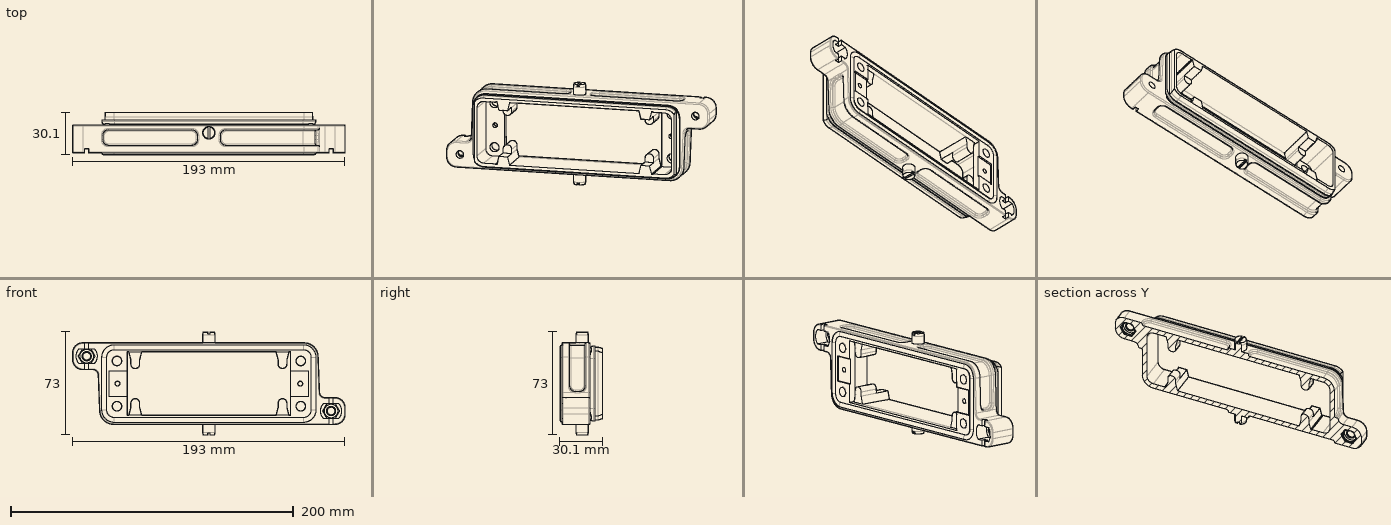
import cadquery as cq


lug_reach = 96.5
half_height = 29.0
body_depth = 19.9
side_x_at_lug = 78.4
side_x_at_corner = 77.4
corner_radius = 10.0
front_edge_fillet = 0.5
rear_edge_fillet = 1.0

lug_height = 19.1
lug_radius = 7.3
lug_root_radius = 3.7
lug_x = 86.5
lug_z = half_height - lug_height / 2
lug_hole_diameter = 5.5
nut_slot_length = 15.0
nut_slot_width = 10.5
nut_slot_depth = 9.6
nut_across_corners = 12.0
nut_depth = 11.5
lug_bore_diameter = 9.6
lug_bore_depth = 13.5
lug_countersink = 0.5
notch_width = 2.9
notch_depth = 2.9

rail_half_length = 75.8
rail_half_height = 27.5
rail_width = 3.5
rail_height = 1.4
rail_radius = 8.9

lip_half_length = 75.7
lip_half_height = 26.6
lip_rear = 23.4
lip_radius = 8.9
lip_front_fillet = 2.3
total_depth = 30.1
spigot_half_length = 75.7
spigot_end_flat_x = 73.5
spigot_half_height = 25.9
spigot_rear = total_depth - rail_height
spigot_taper_start = 25.5
spigot_taper = 1.0
spigot_end_taper = 0.2
spigot_radius = 8.5

opening_half_length = 57.7
opening_half_height = 22.4
opening_land = 3.5
plate_thickness = 5.5
opening_draft = 0.4
cavity_half_length = 71.5
cavity_radius = 5.0
fixing_hole_diameter = 6.5
fixing_hole_x = 65.0
fixing_hole_z = 16.0
centre_hole_diameter = 3.3
centre_hole_x = 64.7
plate_pocket_outer_x = 70.6
plate_pocket_height = 18.1
plate_pocket_depth = 1.2

post_x = 52.1
post_width = 6.4
post_tip_z = 10.6
post_rear = 17.8
foot_width = 9.3
foot_top_z = 16.8

panel_y_range = (5.5, 16.5)
panel_depth = 2.1
panel_inner_x = 8.1
panel_outer_x = 75.0
panel_end_z = 5.6
panel_radius = 4.0
panel_edge_fillet = 1.0
panel_wrap_half_length = 75.3
panel_wrap_radius = 8.7

screw_diameter = 8.9
screw_y = 14.3
screw_end_z = 36.5
screw_head_bevel = 0.4
screw_head_bevel_length = 2.0
screw_slot_width = 1.5
screw_slot_depth = 1.4


def plane_at(y):
    """Workplane facing the front, placed at depth y; it extrudes toward -Y."""
    return cq.Workplane("XZ", origin=(0, y, 0))


def block(x_range, y_range, z_range):
    """Box given by its limits along each axis."""
    limits = (x_range, y_range, z_range)
    sizes = [high - low for low, high in limits]
    corner = tuple(low for low, high in limits)
    return cq.Workplane("XY").box(*sizes, centered=False).translate(corner)


def rounded_slab(half_length, half_height_z, radius, y_front, y_rear):
    """Rounded rectangle in XZ, filling y_front to y_rear."""
    slab = plane_at(y_rear).rect(2 * half_length, 2 * half_height_z).extrude(y_rear - y_front)
    return slab.edges("|Y").fillet(radius)


def half_turn(shape):
    """Copy of a shape turned half a revolution about the Y axis."""
    return shape.rotate((0, 0, 0), (0, 1, 0), 180)


def with_half_turn(shape):
    return shape.union(half_turn(shape))


def make_body():
    lug_bottom = half_height - lug_height
    outline = plane_at(body_depth).moveTo(side_x_at_corner - corner_radius, half_height)
    for side in (1, -1):
        def at(x, z):
            return (side * x, side * z)

        outline = (
            outline.lineTo(*at(lug_radius - lug_reach, half_height))
            .radiusArc(at(-lug_reach, half_height - lug_radius), -lug_radius)
            .lineTo(*at(-lug_reach, lug_bottom + lug_radius))
            .radiusArc(at(lug_radius - lug_reach, lug_bottom), -lug_radius)
            .lineTo(*at(-side_x_at_lug - lug_root_radius, lug_bottom))
            .radiusArc(at(-side_x_at_lug, lug_bottom - lug_root_radius), lug_root_radius)
            .lineTo(*at(-side_x_at_corner, corner_radius - half_height))
            .radiusArc(at(corner_radius - side_x_at_corner, -half_height), -corner_radius)
        )
    body = outline.close().extrude(body_depth)
    body = body.faces("<Y").edges().fillet(front_edge_fillet)
    return body.faces(">Y").edges().fillet(rear_edge_fillet)


def make_rail():
    """Ridge with an arched section that follows a rounded rectangle."""
    centre_z = rail_half_height - rail_width / 2
    centre_half_length = rail_half_length - rail_width / 2
    bend = rail_radius - rail_width / 2
    path = rounded_slab(centre_half_length, centre_z, bend, 0, body_depth).faces("<Y").wires()
    section = (
        cq.Workplane("YZ")
        .moveTo(0, centre_z - rail_width / 2)
        .threePointArc((-rail_height, centre_z), (0, centre_z + rail_width / 2))
        .close()
    )
    return section.sweep(path)


def make_lip():
    lip = rounded_slab(lip_half_length, lip_half_height, lip_radius, body_depth, lip_rear)
    return lip.faces("<Y").edges().fillet(lip_front_fillet)


def make_spigot():
    """Rounded spigot with a tapered rear rim and ends cut flat."""
    spigot = rounded_slab(spigot_half_length, spigot_half_height, spigot_radius, body_depth, spigot_rear)
    spigot = spigot.faces(">Y").chamfer(spigot_rear - spigot_taper_start, spigot_taper)
    rear_flat_x = spigot_end_flat_x - spigot_end_taper
    flat_points = [
        (-spigot_end_flat_x, body_depth),
        (spigot_end_flat_x, body_depth),
        (spigot_end_flat_x, spigot_taper_start),
        (rear_flat_x, spigot_rear),
        (-rear_flat_x, spigot_rear),
        (-spigot_end_flat_x, spigot_taper_start),
    ]
    flat_ends = cq.Workplane("XY").polyline(flat_points).close().extrude(spigot_half_height, both=True)
    return spigot.intersect(flat_ends)


def make_opening():
    """Main opening plus the cavity behind the two end plates."""
    rear_half_height = opening_half_height + opening_draft
    section = [
        (0, opening_half_height),
        (opening_land, opening_half_height),
        (spigot_rear, rear_half_height),
        (spigot_rear, -rear_half_height),
        (opening_land, -opening_half_height),
        (0, -opening_half_height),
    ]
    opening = cq.Workplane("YZ").polyline(section).close().extrude(opening_half_length, both=True)
    cavity = rounded_slab(
        cavity_half_length, opening_half_height, cavity_radius, plate_thickness, spigot_rear
    )
    return opening.union(cavity)


def make_plate_cuts():
    """Fixing holes, centre holes and shallow pockets of both end plates."""
    fixing_points = [(x, z) for x in (-fixing_hole_x, fixing_hole_x) for z in (-fixing_hole_z, fixing_hole_z)]
    cuts = plane_at(plate_thickness).pushPoints(fixing_points).circle(fixing_hole_diameter / 2)
    cuts = cuts.extrude(plate_thickness)
    centre_points = [(-centre_hole_x, 0), (centre_hole_x, 0)]
    centre_holes = plane_at(plate_thickness).pushPoints(centre_points).circle(centre_hole_diameter / 2)
    pockets = plane_at(plate_pocket_depth).rect(2 * plate_pocket_outer_x, plate_pocket_height)
    return cuts.union(centre_holes.extrude(plate_thickness)).union(pockets.extrude(plate_pocket_depth))


def make_post(x_side, z_side):
    """Round-tipped guide post standing on a flared foot that runs to the rear."""
    tip_radius = post_width / 2
    tip_start_z = post_tip_z + tip_radius
    root_z = opening_half_height + opening_draft
    post = (
        plane_at(post_rear)
        .moveTo(post_x - tip_radius, root_z)
        .lineTo(post_x - tip_radius, tip_start_z)
        .threePointArc((post_x, post_tip_z), (post_x + tip_radius, tip_start_z))
        .lineTo(post_x + tip_radius, root_z)
        .close()
        .extrude(post_rear - opening_land)
    )
    foot_points = [
        (post_x - foot_width / 2, root_z),
        (post_x - foot_width / 2, opening_half_height),
        (post_x - post_width / 2, foot_top_z),
        (post_x + post_width / 2, foot_top_z),
        (post_x + foot_width / 2, opening_half_height),
        (post_x + foot_width / 2, root_z),
    ]
    foot = plane_at(spigot_rear).polyline(foot_points).close().extrude(spigot_rear - opening_land)
    post = post.union(foot)
    if x_side < 0:
        post = post.mirror("YZ")
    if z_side < 0:
        post = post.mirror("XY")
    return post


def make_lug_cut():
    """Hole, stepped nut seat and cross notch of the left lug."""
    hole = plane_at(body_depth).circle(lug_hole_diameter / 2).extrude(body_depth)
    bore = plane_at(lug_bore_depth).circle(lug_bore_diameter / 2).extrude(lug_bore_depth)
    countersink = (
        plane_at(lug_bore_depth)
        .circle(lug_hole_diameter / 2 + lug_countersink)
        .workplane(offset=-lug_countersink)
        .circle(lug_hole_diameter / 2)
        .loft()
    )
    nut = plane_at(nut_depth).polygon(6, nut_across_corners).extrude(nut_depth)
    slot = plane_at(nut_slot_depth).rect(nut_slot_length, nut_slot_width).extrude(nut_slot_depth)
    slot = slot.intersect(plane_at(nut_slot_depth).circle(nut_slot_length / 2).extrude(nut_slot_depth))
    notch = plane_at(notch_depth).rect(notch_width, lug_height).extrude(notch_depth)
    cut = hole.union(bore).union(countersink).union(nut).union(slot).union(notch)
    return cut.translate((-lug_x, 0, lug_z))


def make_short_panel():
    """Recess in the top wall beside the left lug."""
    panel = block(
        (-panel_outer_x, -panel_inner_x),
        panel_y_range,
        (half_height - panel_depth, half_height),
    )
    return panel.edges("|Z").fillet(panel_radius)


def make_wrapped_panel():
    """Recess that starts in the top wall and runs round the corner into the right end wall."""
    tool = block((panel_inner_x, lug_reach), panel_y_range, (-panel_end_z, screw_end_z))
    core = rounded_slab(
        panel_wrap_half_length, half_height - panel_depth, panel_wrap_radius, 0, body_depth
    )
    tool = tool.cut(core)
    tool = tool.faces("<X").edges("|Z").fillet(panel_radius)
    return tool.faces("<Z").edges("|X").fillet(panel_radius)


def cut_panels(body):
    """Sink the panels into the outer walls and round their rims and floor edges."""
    for tool in (make_short_panel(), make_wrapped_panel()):
        body = body.cut(tool).cut(half_turn(tool))
    panel_zone = cq.selectors.BoxSelector(
        (-lug_reach, front_edge_fillet, -screw_end_z),
        (lug_reach, body_depth - rear_edge_fillet, screw_end_z),
        boundingbox=True,
    )
    longest_seam = side_x_at_lug - panel_wrap_half_length + panel_edge_fillet / 2
    edges = body.edges(panel_zone).edges("not |Y").filter(lambda edge: edge.Length() > longest_seam)
    return edges.fillet(panel_edge_fillet)


def make_screw():
    """Slotted screw head standing on the top wall."""
    head_height = screw_end_z - half_height
    radius = screw_diameter / 2
    profile = [
        (0, 0),
        (radius, 0),
        (radius, head_height - screw_head_bevel_length),
        (radius - screw_head_bevel, head_height),
        (0, head_height),
    ]
    screw = cq.Workplane("XZ").polyline(profile).close().revolve(360, (0, 0), (0, 1))
    slot = block(
        (-screw_slot_width / 2, screw_slot_width / 2),
        (-radius, radius),
        (head_height - screw_slot_depth, head_height),
    )
    return screw.cut(slot).translate((0, screw_y, half_height))


frame = cut_panels(make_body()).union(make_rail()).union(make_lip()).union(make_spigot())
frame = frame.cut(make_opening()).cut(make_plate_cuts())
frame = frame.cut(with_half_turn(make_lug_cut()))
for x_side in (1, -1):
    for z_side in (1, -1):
        frame = frame.union(make_post(x_side, z_side))
result = frame.union(with_half_turn(make_screw()))